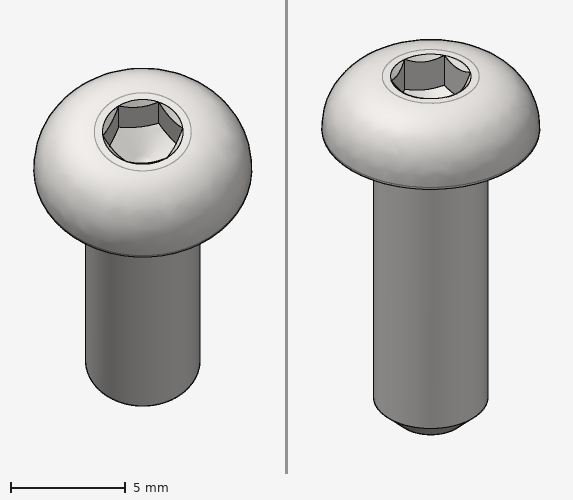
import cadquery as cq
import math

total_length = 17.75
head_height = 2.75
shank_length = total_length - head_height

head_diameter = 9.5
rim_height = 0.1
crown_diameter = 4.22

shank_diameter = 5.0
point_diameter = 3.02
point_length = (shank_diameter - point_diameter) / 2

socket_flats = 3.04
socket_corners = socket_flats / math.cos(math.pi / 6)
socket_depth = 1.56
socket_cone_angle = 120.0
lead_in_angle = 90.0


def revolved_body():
    """Head, shank and point as one profile turned about Z; the head seats on Z = 0."""
    head_radius = head_diameter / 2
    crown_radius = crown_diameter / 2
    dome_height = head_height - rim_height
    overhang = head_radius - crown_radius
    dome_radius = (overhang**2 + dome_height**2) / (2 * dome_height)
    half_sweep = math.asin(overhang / dome_radius) / 2
    dome_middle = (
        crown_radius + dome_radius * math.sin(half_sweep),
        head_height - dome_radius * (1 - math.cos(half_sweep)),
    )
    return (
        cq.Workplane("XZ")
        .moveTo(0, -shank_length)
        .lineTo(point_diameter / 2, -shank_length)
        .lineTo(shank_diameter / 2, -shank_length + point_length)
        .lineTo(shank_diameter / 2, 0)
        .lineTo(head_radius, 0)
        .lineTo(head_radius, rim_height)
        .threePointArc(dome_middle, (crown_radius, head_height))
        .lineTo(0, head_height)
        .close()
        .revolve(360, (0, 0, 0), (0, 1, 0))
    )


def cone_below(diameter, top, included_angle):
    """Cone tapering down to a tip on the Z axis."""
    radius = diameter / 2
    depth = radius / math.tan(math.radians(included_angle / 2))
    return (
        cq.Workplane("XZ")
        .moveTo(0, top)
        .lineTo(radius, top)
        .lineTo(0, top - depth)
        .close()
        .revolve(360, (0, 0, 0), (0, 1, 0))
    )


def hex_socket():
    """Hexagonal socket with corners on the Y axis, a conical floor and a lead-in chamfer."""
    prism = (
        cq.Workplane("XY")
        .transformed(rotate=(0, 0, 90))
        .polygon(6, socket_corners)
        .extrude(head_height)
    )
    floor_top = head_height - socket_depth
    floor_cone = cone_below(socket_corners, floor_top, socket_cone_angle)
    bore = cq.Workplane("XY", origin=(0, 0, floor_top)).circle(socket_corners / 2).extrude(socket_depth)
    drilled_hole = bore.union(floor_cone)
    prism = prism.intersect(drilled_hole)
    lead_in = cone_below(socket_corners, head_height, lead_in_angle)
    return prism.union(lead_in)


result = revolved_body().cut(hex_socket())